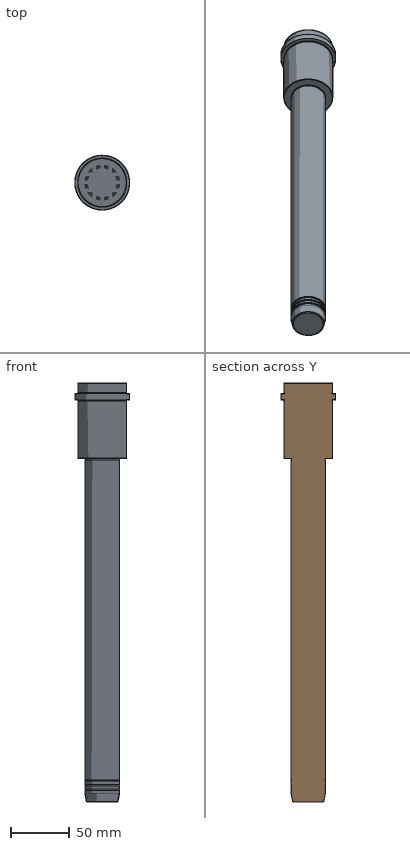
import cadquery as cq

total_length = 360.0
shaft_radius = 14.95

head_radius = 21.05
head_length = 64.8
head_bottom = total_length - head_length
head_chamfer = 0.5

collar_radius = 23.58
collar_top = total_length - 9.0
collar_height = 5.5
collar_bottom = collar_top - collar_height

groove_depth = 0.5
groove_width = 1.0
lowest_groove_bottom = 10.0
groove_pitch = 4.0
groove_count = 3

taper_length = 7.5
taper_inset = 1.5
tip_chamfer = 0.7


def cylinder(radius, bottom, height):
    """Solid cylinder on the Z axis, starting at the given height."""
    return cq.Workplane("XY").workplane(offset=bottom).circle(radius).extrude(height)


def make_groove(surface_radius, bottom):
    """Ring of material to remove from a cylindrical surface."""
    ring = cylinder(surface_radius + groove_depth, bottom, groove_width)
    core = cylinder(surface_radius - groove_depth, bottom, groove_width)
    return ring.cut(core)


def make_shaft():
    """Straight grooved shaft with a tapered lower tip."""
    outline = (
        cq.Workplane("XZ")
        .lineTo(shaft_radius - taper_inset, 0)
        .lineTo(shaft_radius, taper_length)
        .lineTo(shaft_radius, head_bottom)
        .lineTo(0, head_bottom)
        .close()
    )
    shaft = outline.revolve(360, (0, 0, 0), (0, 1, 0))
    shaft = shaft.faces("<Z").edges().chamfer(tip_chamfer)
    groove_bottoms = [lowest_groove_bottom + index * groove_pitch for index in range(groove_count)]
    groove_bottoms.append(head_bottom - groove_width)
    for bottom in groove_bottoms:
        shaft = shaft.cut(make_groove(shaft_radius, bottom))
    return shaft


def make_head():
    """Cylindrical head with broken end edges and a projecting collar."""
    head = cylinder(head_radius, head_bottom, head_length)
    head = head.edges().chamfer(head_chamfer)
    collar = cylinder(collar_radius, collar_bottom, collar_height)
    for bottom in (collar_top, collar_bottom - groove_width):
        head = head.cut(make_groove(head_radius, bottom))
    return head.union(collar)


result = make_shaft().union(make_head())